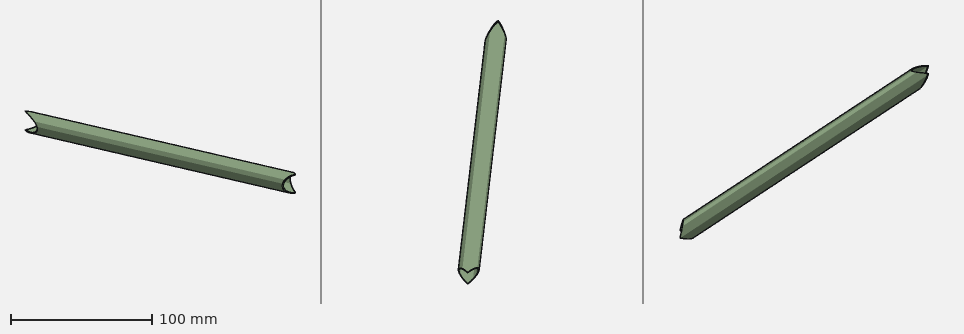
import cadquery as cq
import math

outer_diameter = 15.0
wall_thickness = 0.75
outer_radius = outer_diameter / 2
inner_radius = outer_radius - wall_thickness

cope_radius = 10.0

corner_x = 169.26
corner_y = 149.94
corner = cq.Vector(corner_x, corner_y, 0)
origin = cq.Vector(0, 0, 0)

overrun = 2 * outer_diameter


def rod(radius, start, direction, length):
    """Solid round bar along a horizontal direction."""
    plane = cq.Plane(origin=start, xDir=(0, 0, 1), normal=direction)
    return cq.Workplane(plane).circle(radius).extrude(length)


def make_tube():
    """Over-long straight tube from the origin, to be trimmed at both ends."""
    length = math.hypot(corner_x, corner_y) + overrun
    outside = rod(outer_radius, origin, corner, length)
    bore = rod(inner_radius, origin, corner, length)
    return outside.cut(bore)


def make_mitre_block():
    """Block from the bar axes out to the mitre planes."""
    return cq.Workplane("XY").box(corner_x, corner_y, overrun, centered=(False, False, True))


def make_cope_bar(direction):
    """Bar from the origin that shapes one flank of the coped end."""
    length = cope_radius + outer_diameter + overrun
    return rod(cope_radius, origin, direction, length)


result = make_tube().intersect(make_mitre_block())
for bar_direction in (cq.Vector(1, 0, 0), cq.Vector(0, 1, 0)):
    result = result.cut(make_cope_bar(bar_direction))